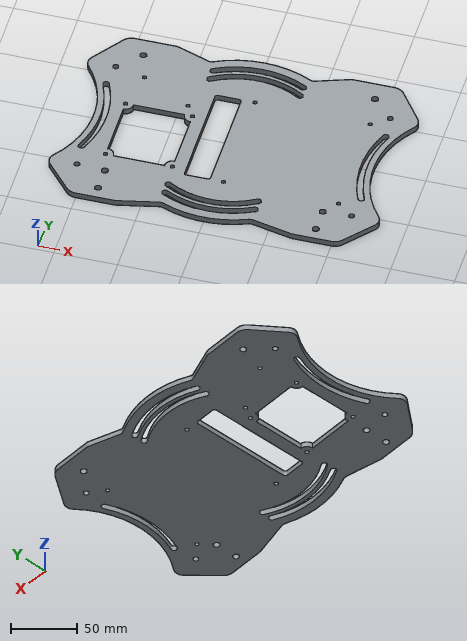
import cadquery as cq
import math

plate_width = 175.0
plate_thickness = 5.0
half_width = plate_width / 2

bulge_radius = 85.0
bulge_center_y = half_width - bulge_radius

hollow_radius = 80.3
hollow_bottom_x = 109.5
hollow_center_x = hollow_bottom_x + hollow_radius
side_center_y = -1.3

rear_flat_inner_x = 68.2
rear_flat_outer_x = 106.7
rear_valley_x = 39.8
rear_tip_y = 53.7
front_flat_inner_x = 69.0
front_flat_outer_x = 104.9
front_valley_x = 34.9
front_tip_y = -56.5
tip_fillet = 7.7
shoulder_fillet = 10.0
flat_fillet = 7.7
rear_valley_fillet = 4.0
front_valley_fillet = 6.5

slot_width = 5.0
slot_half_span = 35.0
bulge_slot_radii = (67.1, 75.2)
side_slot_radius = 86.5
side_slot_bottom_x = 102.0

window_left_x = -89.5
window_right_x = -37.2
window_front_y = -40.5
window_rear_y = 17.0
tab_radius = 6.2
tab_hole_inset_y = 0.3

opening_left_x = -26.5
opening_right_x = -6.2
opening_front_y = -46.2
opening_rear_y = 44.0
opening_fillet = 2.0

large_hole_diameter = 5.2
medium_hole_diameter = 4.5
small_hole_diameter = 3.0

rear_hole_x = 90.6
rear_hole_y = 71.5
front_hole_x = 85.2
front_hole_ys = (-57.9, -77.5)
tip_hole_x = 107.5
tip_hole_offset_y = 55.3
board_hole_xs = (4.5, 94.5)
board_hole_ys = (opening_front_y, opening_rear_y)
single_holes = [(-83.5, 48.3), (-43.5, 27.0)]


def bulge_y(x):
    """Height of the rear bulge above the X axis at x."""
    return bulge_center_y + math.sqrt(bulge_radius**2 - x**2)


def hollow_x(y):
    """Distance of the hollow edge from the Y axis at y."""
    return hollow_center_x - math.sqrt(hollow_radius**2 - (y - side_center_y) ** 2)


def fillet_corners(body, corners, radius):
    """Round the vertical edges at the given corners and their mirror images."""
    for x, y in corners:
        for side in (-1, 1):
            nearest = cq.selectors.NearestToPointSelector((side * x, y, plate_thickness / 2))
            body = body.edges("|Z").edges(nearest).fillet(radius)
    return body


def make_plate():
    rear_valley = (rear_valley_x, bulge_y(rear_valley_x))
    front_valley = (front_valley_x, -bulge_y(front_valley_x))
    rear_tip = (hollow_x(rear_tip_y), rear_tip_y)
    front_tip = (hollow_x(front_tip_y), front_tip_y)
    rear_shoulder = (rear_flat_outer_x, half_width)
    front_shoulder = (front_flat_outer_x, -half_width)
    rear_flat_end = (rear_flat_inner_x, half_width)
    front_flat_end = (front_flat_inner_x, -half_width)

    body = (
        cq.Workplane("XY")
        .moveTo(-rear_valley[0], rear_valley[1])
        .threePointArc((0, half_width), rear_valley)
        .lineTo(*rear_flat_end)
        .lineTo(*rear_shoulder)
        .lineTo(*rear_tip)
        .threePointArc((hollow_bottom_x, side_center_y), front_tip)
        .lineTo(*front_shoulder)
        .lineTo(*front_flat_end)
        .lineTo(*front_valley)
        .threePointArc((0, -half_width), (-front_valley[0], front_valley[1]))
        .lineTo(-front_flat_end[0], -half_width)
        .lineTo(-front_shoulder[0], -half_width)
        .lineTo(-front_tip[0], front_tip[1])
        .threePointArc((-hollow_bottom_x, side_center_y), (-rear_tip[0], rear_tip[1]))
        .lineTo(-rear_shoulder[0], half_width)
        .lineTo(-rear_flat_end[0], half_width)
        .close()
        .extrude(plate_thickness)
    )
    body = fillet_corners(body, [rear_tip, front_tip], tip_fillet)
    body = fillet_corners(body, [rear_shoulder, front_shoulder], shoulder_fillet)
    body = fillet_corners(body, [rear_flat_end, front_flat_end], flat_fillet)
    body = fillet_corners(body, [rear_valley], rear_valley_fillet)
    return fillet_corners(body, [front_valley], front_valley_fillet)


def curved_slot(radius):
    """Slot along an arc about the origin, centred on the +Y axis, with round ends."""
    half_angle = math.asin(slot_half_span / radius)

    def point(path_radius, angle):
        return (path_radius * math.sin(angle), path_radius * math.cos(angle))

    inner = radius - slot_width / 2
    outer = radius + slot_width / 2
    cap_angle = half_angle + slot_width / 2 / radius
    return (
        cq.Workplane("XY")
        .moveTo(*point(outer, -half_angle))
        .threePointArc((0, outer), point(outer, half_angle))
        .threePointArc(point(radius, cap_angle), point(inner, half_angle))
        .threePointArc((0, inner), point(inner, -half_angle))
        .threePointArc(point(radius, -cap_angle), point(outer, -half_angle))
        .close()
        .extrude(plate_thickness)
    )


def cut_slots(body):
    z_axis = ((0, 0, 0), (0, 0, 1))
    for radius in bulge_slot_radii:
        slot = curved_slot(radius)
        body = body.cut(slot.translate((0, bulge_center_y, 0)))
        body = body.cut(slot.rotate(*z_axis, 180).translate((0, -bulge_center_y, 0)))

    side_slot = curved_slot(side_slot_radius)
    side_slot_center_x = side_slot_bottom_x + side_slot_radius
    for side in (-1, 1):
        turned = side_slot.rotate(*z_axis, side * 90)
        body = body.cut(turned.translate((side * side_slot_center_x, side_center_y, 0)))
    return body


def through_box(left, right, front, rear):
    return cq.Workplane("XY").box(
        right - left, rear - front, plate_thickness, centered=False
    ).translate((left, front, 0))


def through_cylinders(centers, diameter):
    return cq.Workplane("XY").pushPoints(centers).circle(diameter / 2).extrude(plate_thickness)


def grid(xs, ys):
    return [(x, y) for x in xs for y in ys]


tab_holes = grid(
    (window_left_x, window_right_x),
    (window_front_y + tab_hole_inset_y, window_rear_y - tab_hole_inset_y),
)


def cut_openings(body):
    window = through_box(window_left_x, window_right_x, window_front_y, window_rear_y)
    window = window.cut(through_cylinders(tab_holes, 2 * tab_radius))
    opening = through_box(opening_left_x, opening_right_x, opening_front_y, opening_rear_y)
    opening = opening.edges("|Z").fillet(opening_fillet)
    return body.cut(window).cut(opening)


def cut_holes(body):
    large_holes = grid((-rear_hole_x, rear_hole_x), (rear_hole_y,))
    large_holes += grid((-front_hole_x, front_hole_x), front_hole_ys)
    tip_hole_ys = (side_center_y - tip_hole_offset_y, side_center_y + tip_hole_offset_y)
    medium_holes = grid((-tip_hole_x, tip_hole_x), tip_hole_ys)
    small_holes = tab_holes + grid(board_hole_xs, board_hole_ys) + single_holes

    body = body.cut(through_cylinders(large_holes, large_hole_diameter))
    body = body.cut(through_cylinders(medium_holes, medium_hole_diameter))
    return body.cut(through_cylinders(small_holes, small_hole_diameter))


result = cut_holes(cut_openings(cut_slots(make_plate())))